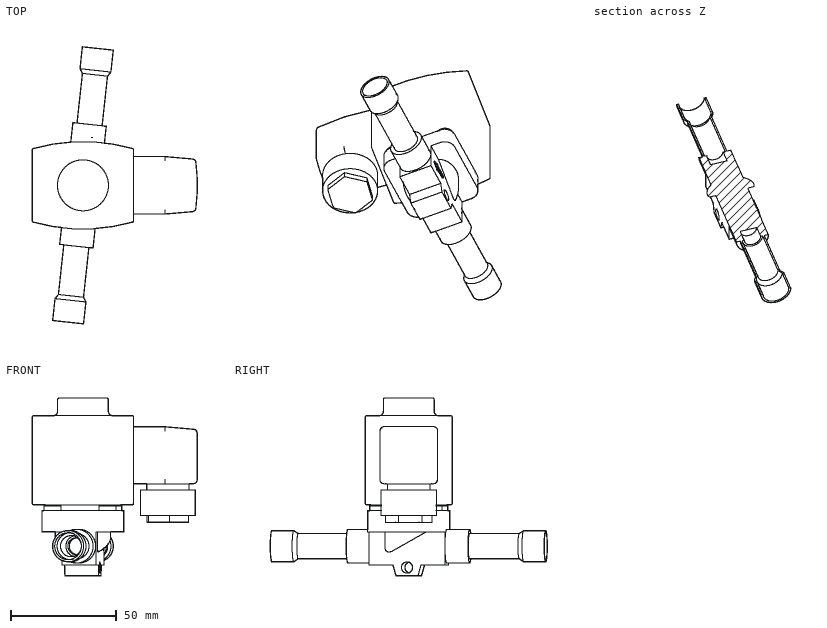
import cadquery as cq
import math

body_turn = -6.2

coil_width = 47.9
coil_side_depth = 34.5
coil_mid_depth = 41.3
coil_bottom = 19.5
coil_top = 61.6
coil_edge_radius = 0.8

cap_diameter = 24.1
cap_top = 70.0
cap_top_radius = 0.9
cap_foot_radius = 2.0

plug_end = 54.0
plug_straight_end = 38.7
plug_width = 27.2
plug_bottom = 29.5
plug_top = 56.4
plug_taper = 5.0
plug_end_bulge = 0.9
plug_edge_radius = 2.0

gland_x = 40.0
gland_neck_diameter = 20.0
gland_nut_diameter = 26.0
gland_nut_top = 26.5
gland_nut_bottom = 14.4
gland_hex_bottom = 11.3
gland_hex_corners = 22.0
gland_hex_turn = 4.0

plate_side = 36.1
plate_corner_radius = 5.2
plate_bottom = 6.8
plate_top = 16.7
collar_diameter = 26.2
screw_spacing = 26.2
screw_head_diameter = 8.0
screw_chamfer = 0.7

block_width = 16.1
block_length = plate_side
block_bottom = -8.9
boss_diameter = 26.2
boss_mid_bottom = 1.6
boss_slope = 29.5
boss_edge_radius = 2.0

lug_bottom = -14.0
lug_top_length = 13.3
lug_bottom_length = 10.5
lug_hole_diameter = 5.2
lug_hole_height = -10.1

arrow_rise = 0.4
arrow_tip = 14.8
arrow_neck = 10.6
arrow_tail = 4.3
arrow_head_width = 4.7
arrow_shaft_width = 2.1
arrow_height = -1.6

overall_length = 130.8
sleeve_diameter = 16.0
sleeve_end = 28.9
tube_diameter = 12.0
tube_bore = 10.0
block_bore = 8.0
socket_diameter = 14.8
socket_bore = 12.7
flare_start = 52.5
flare_end = 54.5
bore_floor = 22.9


def cylinder(diameter, bottom, top, x=0.0):
    return cq.Workplane("XY", origin=(x, 0, bottom)).circle(diameter / 2).extrude(top - bottom)


def make_coil():
    half_width = coil_width / 2
    half_side = coil_side_depth / 2
    half_mid = coil_mid_depth / 2
    return (
        cq.Workplane("XY", origin=(0, 0, coil_bottom))
        .moveTo(-half_width, -half_side)
        .threePointArc((0, -half_mid), (half_width, -half_side))
        .lineTo(half_width, half_side)
        .threePointArc((0, half_mid), (-half_width, half_side))
        .close()
        .extrude(coil_top - coil_bottom)
        .edges()
        .fillet(coil_edge_radius)
    )


def make_cap():
    radius = cap_diameter / 2
    foot_radius = radius + cap_foot_radius
    foot_top = coil_top + cap_foot_radius
    diagonal = cap_foot_radius * (1 - math.sqrt(0.5))
    axis_start = coil_top - coil_edge_radius
    profile = (
        cq.Workplane("XZ")
        .moveTo(0, axis_start)
        .lineTo(foot_radius, axis_start)
        .lineTo(foot_radius, coil_top)
        .threePointArc((radius + diagonal, coil_top + diagonal), (radius, foot_top))
        .lineTo(radius, cap_top)
        .lineTo(0, cap_top)
        .close()
    )
    return profile.revolve(360, (0, 0, 0), (0, 1, 0)).faces(">Z").edges().fillet(cap_top_radius)


def make_plug():
    """Straight base against the coil and a tapered tip with a slightly bulged end."""
    base_start = coil_width / 2 - coil_edge_radius
    corner_x = plug_end - plug_end_bulge
    slope = math.tan(math.radians(plug_taper))
    half_width = plug_width / 2
    end_half_width = half_width - (corner_x - plug_straight_end) * slope
    end_top = plug_top - (plug_end - plug_straight_end) * slope
    base = (
        cq.Workplane("YZ", origin=(base_start, 0, (plug_bottom + plug_top) / 2))
        .rect(plug_width, plug_top - plug_bottom)
        .extrude(plug_straight_end - base_start)
        .edges("|X")
        .fillet(plug_edge_radius)
    )
    tip_plan = (
        cq.Workplane("XY", origin=(0, 0, plug_bottom))
        .moveTo(plug_straight_end, -half_width)
        .lineTo(corner_x, -end_half_width)
        .threePointArc((plug_end, 0), (corner_x, end_half_width))
        .lineTo(plug_straight_end, half_width)
        .close()
        .extrude(plug_top - plug_bottom)
    )
    tip_side = (
        cq.Workplane("XZ")
        .moveTo(plug_straight_end, plug_bottom)
        .lineTo(plug_end, plug_bottom)
        .lineTo(plug_end, end_top)
        .lineTo(plug_straight_end, plug_top)
        .close()
        .extrude(half_width, both=True)
    )
    tip = tip_plan.intersect(tip_side).faces("not <X").edges("not <X").fillet(plug_edge_radius)
    return base.union(tip)


def make_gland():
    neck = cylinder(gland_neck_diameter, gland_nut_top, plug_bottom + plug_edge_radius, gland_x)
    nut = cylinder(gland_nut_diameter, gland_nut_bottom, gland_nut_top, gland_x)
    hexagon = (
        cq.Workplane("XY", origin=(gland_x, 0, gland_hex_bottom))
        .transformed(rotate=(0, 0, gland_hex_turn - 90))
        .polygon(6, gland_hex_corners)
        .extrude(gland_nut_bottom - gland_hex_bottom)
    )
    return neck.union(nut).union(hexagon)


def make_flange():
    flange = (
        cq.Workplane("XY", origin=(0, 0, plate_bottom))
        .rect(plate_side, plate_side)
        .extrude(plate_top - plate_bottom)
        .edges("|Z")
        .fillet(plate_corner_radius)
    )
    screws = (
        cq.Workplane("XY", origin=(0, 0, plate_top))
        .rect(screw_spacing, screw_spacing, forConstruction=True)
        .vertices()
        .circle(screw_head_diameter / 2)
        .extrude(coil_bottom - plate_top)
        .faces(">Z")
        .edges()
        .chamfer(screw_chamfer)
    )
    collar = cylinder(collar_diameter, plate_top, coil_bottom)
    return flange.union(screws).union(collar)


def make_boss():
    """Upright cylinder whose sloping underside is lowest towards -Y."""
    half_size = boss_diameter
    rise = half_size * math.tan(math.radians(boss_slope))
    below = (
        cq.Workplane("YZ")
        .moveTo(-half_size, boss_mid_bottom - rise)
        .lineTo(half_size, boss_mid_bottom + rise)
        .lineTo(half_size, -2 * half_size)
        .lineTo(-half_size, -2 * half_size)
        .close()
        .extrude(half_size, both=True)
    )
    boss = cylinder(boss_diameter, -boss_diameter, plate_top).cut(below)
    return boss.faces("<Z").edges().fillet(boss_edge_radius)


def make_block():
    block = (
        cq.Workplane("XY", origin=(0, 0, block_bottom))
        .rect(block_width, block_length)
        .extrude(plate_bottom - block_bottom)
    )
    lug = (
        cq.Workplane("YZ")
        .moveTo(-lug_top_length / 2, block_bottom)
        .lineTo(-lug_bottom_length / 2, lug_bottom)
        .lineTo(lug_bottom_length / 2, lug_bottom)
        .lineTo(lug_top_length / 2, block_bottom)
        .close()
        .extrude(block_width / 2, both=True)
    )
    hole = (
        cq.Workplane("YZ", origin=(0, 0, lug_hole_height))
        .circle(lug_hole_diameter / 2)
        .extrude(block_width, both=True)
    )
    tail_center = arrow_tail + arrow_shaft_width / 2
    arrow = (
        cq.Workplane("YZ", origin=(-block_width / 2, 0, arrow_height))
        .moveTo(arrow_tip, 0)
        .lineTo(arrow_neck, arrow_head_width / 2)
        .lineTo(arrow_neck, arrow_shaft_width / 2)
        .lineTo(tail_center, arrow_shaft_width / 2)
        .threePointArc((arrow_tail, 0), (tail_center, -arrow_shaft_width / 2))
        .lineTo(arrow_neck, -arrow_shaft_width / 2)
        .lineTo(arrow_neck, -arrow_head_width / 2)
        .close()
        .extrude(-arrow_rise)
    )
    return block.union(lug).union(make_boss()).union(arrow).cut(hole)


def make_tube():
    """One tube along +Y with its sleeve and widened, hollow end."""
    turn = math.radians(abs(body_turn))
    tube_end = (overall_length / 2 - socket_diameter / 2 * math.sin(turn)) / math.cos(turn)
    profile = (
        cq.Workplane("XY")
        .moveTo(0, block_length / 2)
        .lineTo(sleeve_diameter / 2, block_length / 2)
        .lineTo(sleeve_diameter / 2, sleeve_end)
        .lineTo(tube_diameter / 2, sleeve_end)
        .lineTo(tube_diameter / 2, flare_start)
        .lineTo(socket_diameter / 2, flare_end)
        .lineTo(socket_diameter / 2, tube_end)
        .lineTo(socket_bore / 2, tube_end)
        .lineTo(socket_bore / 2, flare_end)
        .lineTo(tube_bore / 2, flare_start)
        .lineTo(tube_bore / 2, sleeve_end)
        .lineTo(block_bore / 2, sleeve_end)
        .lineTo(block_bore / 2, bore_floor)
        .lineTo(0, bore_floor)
        .close()
    )
    return profile.revolve(360, (0, 0, 0), (0, 1, 0))


def make_valve_body():
    back_tube = make_tube()
    front_tube = back_tube.mirror("XZ")
    body = make_flange().union(make_block()).union(back_tube).union(front_tube)
    return body.rotate((0, 0, 0), (0, 0, 1), body_turn)


result = make_coil().union(make_cap()).union(make_plug()).union(make_gland()).union(make_valve_body())